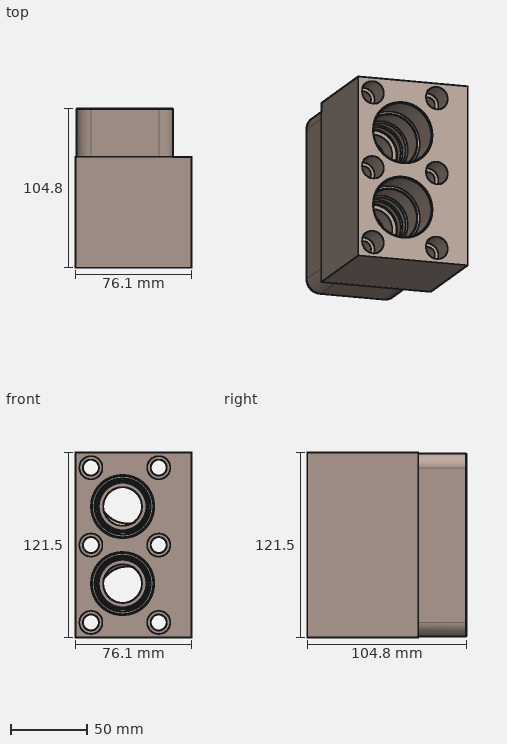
import cadquery as cq

block_width = 76.1
block_depth = 72.9
block_height = 121.5

boss_length = 31.9
boss_inset = 0.6
boss_width = 63.5
boss_corner_radius = 9.5
boss_edge_chamfer = 0.7
total_depth = block_depth + boss_length
boss_height = block_height - 2 * boss_inset
boss_x = -block_width / 2 + boss_inset + boss_width / 2

bolt_pitch_x = 44.5
bolt_pitch_z = 50.8
bolt_diameter = 10.3
bolt_head_diameter = 15.2
bolt_head_depth = 18.2

port_offset_x = 1.5
port_x = boss_x - port_offset_x
port_pitch_z = 50.5
mouth_radius = 20.8
mouth_chamfer = 0.7
bore_radius = mouth_radius - mouth_chamfer
bore_depth = 23.2
socket_radius = 18.1
socket_chamfer = 0.4
socket_depth = 41.3
waist_radius = 17.0
waist_depth = 48.6
seat_radius = 16.0
seat_depth = 55.9
seat_chamfer = 0.5
neck_radius = 12.6

outlet_radius = 19.0
outlet_shift_x = 3.2
outlet_shift_z = 7.9
flare_length = 1.6
neck_end = block_depth - flare_length


def y_plane(y):
    """XZ sketch plane at depth y whose extrusions run toward +Y."""
    return cq.Workplane(cq.Plane(origin=(0, y, 0), xDir=(-1, 0, 0), normal=(0, 1, 0)))


def circle_at(x, y, z, radius):
    return y_plane(y).center(-x, z).circle(radius)


def make_body():
    block = y_plane(0).rect(block_width, block_height).extrude(block_depth)
    boss = (
        y_plane(block_depth)
        .center(-boss_x, 0)
        .rect(boss_width, boss_height)
        .extrude(boss_length)
        .edges("|Y")
        .fillet(boss_corner_radius)
        .faces(">Y")
        .edges()
        .chamfer(boss_edge_chamfer)
    )
    return block.union(boss)


def bolt_hole(x, z):
    shank = circle_at(x, 0, z, bolt_diameter / 2).extrude(total_depth)
    head = circle_at(x, 0, z, bolt_head_diameter / 2).extrude(bolt_head_depth)
    return shank.union(head)


def port(side):
    """Port above (side = 1) or below (side = -1) the middle."""
    z = side * port_pitch_z / 2
    profile = [
        (0, 0),
        (mouth_radius, 0),
        (bore_radius, mouth_chamfer),
        (bore_radius, bore_depth),
        (socket_radius + socket_chamfer, bore_depth),
        (socket_radius, bore_depth + socket_chamfer),
        (socket_radius, socket_depth),
        (waist_radius, socket_depth + socket_radius - waist_radius),
        (waist_radius, waist_depth),
        (seat_radius, waist_depth + waist_radius - seat_radius),
        (seat_radius, seat_depth),
        (seat_radius - seat_chamfer, seat_depth + seat_chamfer),
        (neck_radius, seat_depth + seat_chamfer),
        (neck_radius, neck_end),
        (0, neck_end),
    ]
    stepped = (
        cq.Workplane("XY")
        .polyline(profile)
        .close()
        .revolve(360, (0, 0, 0), (0, 1, 0))
        .translate((port_x, 0, z))
    )
    flare = (
        circle_at(port_x, neck_end, z, neck_radius)
        .workplane(offset=flare_length)
        .center(-outlet_shift_x, side * outlet_shift_z)
        .circle(outlet_radius)
        .loft(ruled=True)
    )
    outlet_x = port_x + outlet_shift_x
    outlet_z = z + side * outlet_shift_z
    outlet = circle_at(outlet_x, block_depth, outlet_z, outlet_radius).extrude(boss_length)
    return stepped.union(flare).union(outlet)


result = make_body()
for column in (-1, 1):
    for row in (-1, 0, 1):
        result = result.cut(bolt_hole(boss_x + column * bolt_pitch_x / 2, row * bolt_pitch_z))
for side in (-1, 1):
    result = result.cut(port(side))